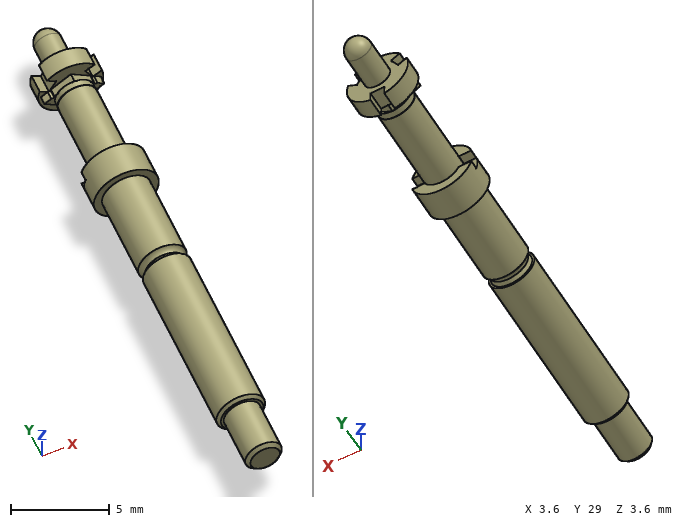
import cadquery as cq
import math

length = 29.0

tip_radius = 0.75

flange_radius = 1.8
flange_gap_floor = 1.15
flange_start = 2.67
flange_end = 3.75
flange_gap_width = 0.8
flange_gap_directions = (30.0, 150.0, 270.0)

key_end = 4.2
key_half_width = 1.65
ledge_inner = 1.1
ledge_outer = 1.28

stem_radius = 1.1
neck_radius = 1.07
stem_start = 4.58

collar_radius = 1.8
collar_start = 9.2
collar_end = 10.95
notch_depth = 0.52
notch_width = 0.95

barrel_diameter = 2.7
barrel_radius = barrel_diameter / 2
barrel_end = 26.0
barrel_chamfer = 0.17
groove_start = 15.65
groove_bottom = 16.0
groove_end = 16.27
groove_radius = 1.13
groove_end_radius = 1.22

terminal_radius = 1.02
terminal_chamfer = 0.2


def section_plane(station):
    """Plane across the axis at a station: local x is X, local y is Z, its normal is -Y."""
    return cq.Workplane("XZ", origin=(0, length / 2 - station, 0))


def cylinder(radius, start, end):
    return section_plane(start).circle(radius).extrude(end - start)


def make_flange():
    """Disc with three flat-bottomed, parallel-sided gaps between its lobes."""
    flange = cylinder(flange_radius, flange_start, flange_end)
    gap_center = flange_gap_floor + flange_radius / 2
    for direction in flange_gap_directions:
        gap = (
            section_plane(flange_start)
            .transformed(rotate=(0, 0, direction))
            .center(gap_center, 0)
            .rect(flange_radius, flange_gap_width)
            .extrude(flange_end - flange_start)
        )
        flange = flange.cut(gap)
    return flange


def key_height(x):
    """Height of the upper key faces above the axis."""
    return stem_radius * (1 - abs(x) / key_half_width)


def make_key():
    """Diamond bar with its short diagonal upright and a ledge cut into each upper face."""
    floor = key_height(ledge_outer)
    depth = key_end - flange_end
    corners = [(key_half_width, 0), (0, stem_radius), (-key_half_width, 0), (0, -stem_radius)]
    key = section_plane(flange_end).polyline(corners).close().extrude(depth)
    for side in (-1, 1):
        ledge = (
            section_plane(flange_end)
            .moveTo(side * ledge_inner, floor)
            .lineTo(side * ledge_outer, floor)
            .lineTo(side * ledge_inner, key_height(ledge_inner))
            .close()
            .extrude(depth)
        )
        key = key.cut(ledge)
    return key


def make_turned_body():
    """Everything round except the flange and collar, turned from one half profile."""

    def at(radius, station):
        return (radius, length / 2 - station)

    diagonal = tip_radius * math.sqrt(0.5)
    dome_middle = at(diagonal, tip_radius - diagonal)

    run = groove_bottom - groove_start
    drop = barrel_radius - groove_radius
    arc_radius = (run**2 + drop**2) / (2 * drop)
    half_turn = math.asin(run / arc_radius) / 2
    arc_middle = at(
        groove_radius + arc_radius * (1 - math.cos(half_turn)),
        groove_bottom - arc_radius * math.sin(half_turn),
    )
    return (
        cq.Workplane("XY")
        .moveTo(*at(0, 0))
        .threePointArc(dome_middle, at(tip_radius, tip_radius))
        .lineTo(*at(tip_radius, key_end))
        .lineTo(*at(neck_radius, key_end))
        .lineTo(*at(neck_radius, stem_start))
        .lineTo(*at(stem_radius, stem_start))
        .lineTo(*at(stem_radius, collar_end))
        .lineTo(*at(barrel_radius, collar_end))
        .lineTo(*at(barrel_radius, groove_start))
        .threePointArc(arc_middle, at(groove_radius, groove_bottom))
        .lineTo(*at(groove_end_radius, groove_end))
        .lineTo(*at(barrel_radius, groove_end))
        .lineTo(*at(barrel_radius, barrel_end - barrel_chamfer))
        .lineTo(*at(barrel_radius - barrel_chamfer, barrel_end))
        .lineTo(*at(terminal_radius, barrel_end))
        .lineTo(*at(terminal_radius, length - terminal_chamfer))
        .lineTo(*at(terminal_radius - terminal_chamfer, length))
        .lineTo(*at(0, length))
        .close()
        .revolve(360, (0, 0, 0), (0, 1, 0))
    )


def make_collar():
    """Collar with a slot straight across its front; the stem refills the middle of the slot."""
    collar = cylinder(collar_radius, collar_start, collar_end)
    slot = section_plane(collar_start).rect(2 * collar_radius, notch_width).extrude(notch_depth)
    return collar.cut(slot)


result = make_turned_body()
for section in (make_collar(), make_flange(), make_key()):
    result = result.union(section)